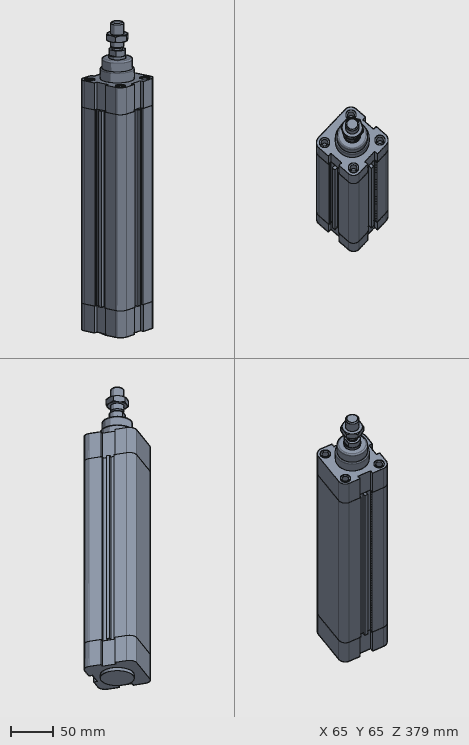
import cadquery as cq
import math

SIDE = 65.0
CORNER_RADIUS = 9.0
SLOT_DEPTH = 4.5
SLOT_WIDTH = 17.0
SLOT_ANGLES = (-90, 0, 90)

MOUTH_WIDTH = 14.8
LIP_THICKNESS = 2.5
RIB_WIDTH = 4.0

SPIGOT_HEIGHT = 4.0
CAP_HEIGHT = 33.0
BARREL_HEIGHT = 240.0
BARREL_Z = SPIGOT_HEIGHT + CAP_HEIGHT
FRONT_CAP_Z = BARREL_Z + BARREL_HEIGHT
COLLAR_Z = FRONT_CAP_Z + CAP_HEIGHT
COLLAR_HEIGHT = 13.0
BOSS_HEIGHT = 12.5
BOSS_TOP_Z = COLLAR_Z + COLLAR_HEIGHT + BOSS_HEIGHT
TOTAL_HEIGHT = 379.0

COLLAR_DIAMETER = 40.0
COLLAR_FILLET = 1.0
BOSS_DIAMETER = 36.0
BOSS_FILLET = 2.0

MOUNT_OFFSET = 23.0
MOUNT_DIAMETER = 8.0
MOUNT_DEPTH = 16.0
MOUNT_RECESS_DIAMETER = 12.0
MOUNT_RECESS_DEPTH = 1.0
DRILL_POINT_ANGLE = 118

ROD_DIAMETER = 20.0
ROD_LENGTH = 3.5
HEAD_DIAMETER = 19.5
HEAD_LENGTH = 7.2
FLAT_SPACING = 16.5
FLAT_LENGTH = 7.0
NECK_DIAMETER = 13.0
NECK_LENGTH = 2.3
THREAD_DIAMETER = 16.0
THREAD_CHAMFER = (THREAD_DIAMETER - NECK_DIAMETER) / 2
HEAD_Z = BOSS_TOP_Z + ROD_LENGTH
SHOULDER_Z = HEAD_Z + HEAD_LENGTH

NUT_SIDES = 6
NUT_FLATS = 24.0
NUT_HEIGHT = 8.0
NUT_TOP_Z = 365.0
NUT_CHAMFER_ANGLE = 30


def cylinder(diameter, height, z):
    return cq.Workplane("XY").workplane(offset=z).circle(diameter / 2).extrude(height)


def block(height, z):
    """Square prism with rounded upright corners."""
    square = cq.Workplane("XY").workplane(offset=z).rect(SIDE, SIDE).extrude(height)
    return square.edges("|Z").fillet(CORNER_RADIUS)


def cut_on_sides(body, cutter):
    """Cut a groove made on the -Y side into every slotted side."""
    for angle in SLOT_ANGLES:
        body = body.cut(cutter.rotate((0, 0, 0), (0, 0, 1), angle))
    return body


def side_bar(width, outer_depth, inner_depth, height, z):
    """Upright bar on the -Y side between two depths below the surface."""
    thickness = inner_depth - outer_depth
    middle_y = -SIDE / 2 + (outer_depth + inner_depth) / 2
    return cq.Workplane("XY").workplane(offset=z).center(0, middle_y).rect(width, thickness).extrude(height)


def make_cap(z):
    return cut_on_sides(block(CAP_HEIGHT, z), side_bar(SLOT_WIDTH, 0, SLOT_DEPTH, CAP_HEIGHT, z))


def make_rear_cap():
    return make_cap(SPIGOT_HEIGHT).union(cylinder(COLLAR_DIAMETER, SPIGOT_HEIGHT, 0))


def make_barrel():
    mouth = side_bar(MOUTH_WIDTH, 0, SLOT_DEPTH, BARREL_HEIGHT, BARREL_Z)
    undercut = side_bar(SLOT_WIDTH, LIP_THICKNESS, SLOT_DEPTH, BARREL_HEIGHT, BARREL_Z)
    rib = side_bar(RIB_WIDTH, 0, SLOT_DEPTH, BARREL_HEIGHT, BARREL_Z)
    return cut_on_sides(block(BARREL_HEIGHT, BARREL_Z), mouth.union(undercut).cut(rib))


def mount_hole():
    """Recessed blind hole with a drill point, opening at the front cap's end face."""
    radius = MOUNT_DIAMETER / 2
    recess_radius = MOUNT_RECESS_DIAMETER / 2
    point_depth = radius / math.tan(math.radians(DRILL_POINT_ANGLE / 2))
    half_section = [
        (0, 0),
        (recess_radius, 0),
        (recess_radius, -MOUNT_RECESS_DEPTH),
        (radius, -MOUNT_RECESS_DEPTH),
        (radius, -MOUNT_DEPTH),
        (0, -MOUNT_DEPTH - point_depth),
    ]
    return cq.Workplane("XZ").polyline(half_section).close().revolve(360, (0, 0), (0, 1))


def make_front_cap():
    collar = cylinder(COLLAR_DIAMETER, COLLAR_HEIGHT, COLLAR_Z).faces(">Z").edges().fillet(COLLAR_FILLET)
    boss = cylinder(BOSS_DIAMETER, BOSS_HEIGHT, COLLAR_Z + COLLAR_HEIGHT)
    boss = boss.faces(">Z").edges().fillet(BOSS_FILLET)
    cap = make_cap(FRONT_CAP_Z).union(collar).union(boss)
    for x in (-MOUNT_OFFSET, MOUNT_OFFSET):
        for y in (-MOUNT_OFFSET, MOUNT_OFFSET):
            cap = cap.cut(mount_hole().translate((x, y, COLLAR_Z)))
    return cap


def make_rod():
    flats_z = SHOULDER_Z - FLAT_LENGTH
    between_flats = cq.Workplane("XY").workplane(offset=flats_z)
    between_flats = between_flats.rect(HEAD_DIAMETER, FLAT_SPACING).extrude(FLAT_LENGTH)
    flat_waste = cylinder(HEAD_DIAMETER, FLAT_LENGTH, flats_z).cut(between_flats)
    head = cylinder(HEAD_DIAMETER, HEAD_LENGTH, HEAD_Z).cut(flat_waste)
    shank = cylinder(ROD_DIAMETER, ROD_LENGTH, BOSS_TOP_Z)
    neck = cylinder(NECK_DIAMETER, NECK_LENGTH, SHOULDER_Z)
    thread_z = SHOULDER_Z + NECK_LENGTH
    thread = cylinder(THREAD_DIAMETER, TOTAL_HEIGHT - thread_z, thread_z)
    thread = thread.faces("<Z or >Z").edges().chamfer(THREAD_CHAMFER)
    return shank.union(head).union(neck).union(thread)


def make_nut():
    corner_diameter = NUT_FLATS / math.cos(math.pi / NUT_SIDES)
    bottom_z = NUT_TOP_Z - NUT_HEIGHT
    hexagon = cq.Workplane("XY").workplane(offset=bottom_z).polygon(NUT_SIDES, corner_diameter)
    hexagon = hexagon.extrude(NUT_HEIGHT)
    corner_depth = (corner_diameter - NUT_FLATS) / 2
    chamfer_height = corner_depth * math.tan(math.radians(NUT_CHAMFER_ANGLE))
    turned = cylinder(corner_diameter, NUT_HEIGHT, bottom_z)
    turned = turned.faces("<Z or >Z").edges().chamfer(chamfer_height, corner_depth)
    return hexagon.intersect(turned).cut(cylinder(THREAD_DIAMETER, NUT_HEIGHT, bottom_z))


rear_cap = make_rear_cap()
barrel = make_barrel()
front_cap = make_front_cap()
rod = make_rod()
nut = make_nut()

result = cq.Compound.makeCompound([rear_cap.val(), barrel.val(), front_cap.val(), rod.val(), nut.val()])